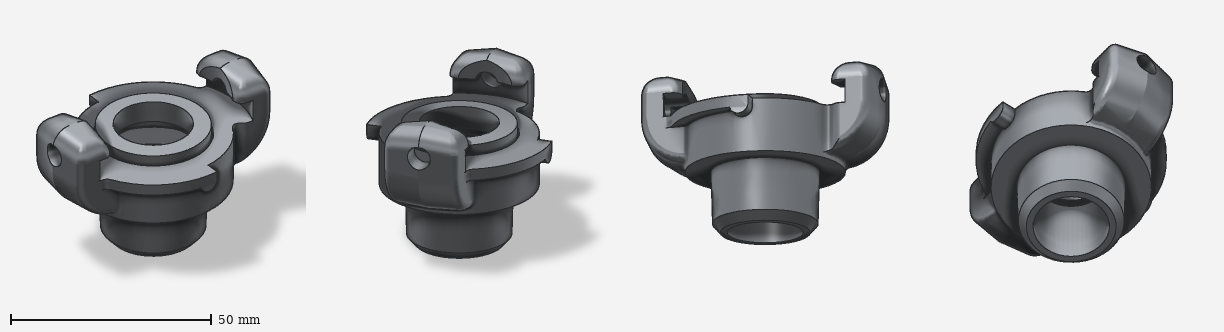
import cadquery as cq
import math


disc_radius = 20.0
disc_height = 13.7
stub_end_z = -29.27
stub_chamfer_z = -27.0
stub_top_radius = 13.6
stub_taper_radius = 13.2
stub_end_radius = 11.2
through_bore_radius = 9.5

chamber_mouth_radius = 15.0
chamber_radius = 17.5
shoulder_z = -2.0
chamber_floor_z = -8.8
floor_cone_drop = 0.4

seal_neck_radius = 14.5
seal_flange_radius = 17.25
seal_bore_radius = 10.0
seal_top_z = 2.93
seal_rim_z = 2.65
seal_bore_end_z = -2.9
seal_flare_radius = 11.0
seal_flare_z = -4.8
seal_skirt_radius = 16.5

claw_half_width = 9.87
claw_outer_y = 31.0
claw_inner_y = 18.4
claw_top_z = 12.2
crest_drop = 1.5
elbow_radius = 12.0
elbow_axis_y = claw_outer_y - elbow_radius
claw_root_y = 14.0
claw_crown_fillet = 5.0
claw_side_fillet = 2.0
claw_root_fillet = 1.5
slot_height = 6.0
slot_radius = 25.6
hook_tip_radius = 20.7
claw_hole_diameter = 6.0
claw_hole_z = 5.2

flange_radius = 23.75
flange_thickness = 3.0
flange_fillet = 2.0
stop_radius = 2.5
stop_centre_z = -2.2
stop_overlap = 1.0

hollow_radius = 1.8
round_radius = 2.8
relief_depth = 1.33

tolerance = 0.01


def both_sides(shape):
    """Return the +Y shape joined with its half-turn copy."""
    return shape.union(shape.rotate((0, 0, 0), (0, 0, 1), 180))


def claw_arm():
    """Upright arm and hook block, with crests along the middle of its outer, inner and top faces."""
    plan = [
        (0, claw_outer_y),
        (claw_half_width, claw_outer_y - crest_drop),
        (claw_half_width, claw_inner_y + crest_drop),
        (0, claw_inner_y),
        (-claw_half_width, claw_inner_y + crest_drop),
        (-claw_half_width, claw_outer_y - crest_drop),
    ]
    front = [
        (-claw_half_width, 0),
        (claw_half_width, 0),
        (claw_half_width, claw_top_z - crest_drop),
        (0, claw_top_z),
        (-claw_half_width, claw_top_z - crest_drop),
    ]
    column = cq.Workplane("XY").polyline(plan).close().extrude(claw_top_z)
    roof = cq.Workplane("XZ").polyline(front).close().extrude(-2 * claw_outer_y)
    return column.intersect(roof)


def claw_elbow():
    """Quarter bend under the arm and its level root, run out from the crest along both slanted halves."""
    side_profile = (
        cq.Workplane("YZ").moveTo(claw_root_y, 0).lineTo(claw_outer_y, 0)
        .radiusArc((elbow_axis_y, -elbow_radius), elbow_radius)
        .lineTo(claw_root_y, -elbow_radius).close()
    )
    profile_face = cq.Face.makeFromWires(side_profile.val())
    halves = [
        cq.Solid.extrudeLinear(profile_face, cq.Vector(side * claw_half_width, -crest_drop, 0))
        for side in (1, -1)
    ]
    return cq.Workplane(halves[0]).union(cq.Workplane(halves[1]))


def is_crown_edge(edge):
    """Rim edges of the claw top, without the crest line itself."""
    on_crest = edge.BoundingBox().xlen < tolerance and abs(edge.Center().x) < tolerance
    return edge.BoundingBox().zmin > claw_top_z - crest_drop - tolerance and not on_crest


def is_side_edge(edge):
    """Edges where the claw sides meet its outer, lower and hook faces."""
    box = edge.BoundingBox()
    in_side_face = box.xlen < tolerance and abs(edge.Center().x) > claw_half_width - tolerance
    if not in_side_face:
        return False
    on_elbow = edge.geomType() == "CIRCLE" and edge.Center().z < 0
    under_root = box.zmax < -elbow_radius + tolerance
    upright = box.ylen < tolerance and box.ymin > claw_inner_y
    return on_elbow or under_root or upright


def rounded_claw():
    """Claw with its crown and side edges rounded, before the mating slot is cut."""
    claw = claw_arm().union(claw_elbow())
    crown_edges = [edge for edge in claw.edges().vals() if is_crown_edge(edge)]
    claw = claw.newObject(crown_edges).fillet(claw_crown_fillet)
    side_edges = [edge for edge in claw.edges().vals() if is_side_edge(edge)]
    return claw.newObject(side_edges).fillet(claw_side_fillet)


def is_root_edge(edge):
    """Edges below the mating face where a claw meets the wall of the disc."""
    box = edge.BoundingBox()
    at_claw = abs(edge.Center().y) > claw_root_y
    clear_of_base = box.zmin > -disc_height + tolerance
    below_mating_face = box.zmin < -tolerance
    on_wall = all(
        abs(math.hypot(vertex.X, vertex.Y) - disc_radius) < tolerance for vertex in edge.Vertices()
    )
    return at_claw and clear_of_base and below_mating_face and on_wall


def flange_ramp():
    """Thin flange on the -X side of the claw, blended into it and ending in a round-bottomed stop."""
    quadrant = (
        cq.Workplane("XY").circle(flange_radius).extrude(-flange_thickness)
        .intersect(cq.Workplane("XY").rect(flange_radius, flange_radius, centered=False)
                   .extrude(-flange_thickness).rotate((0, 0, 0), (0, 0, 1), 90))
    )
    stop_length = flange_radius - disc_radius + stop_overlap
    stop_block = (
        cq.Workplane("XY", origin=(-flange_radius, -stop_radius, stop_centre_z))
        .box(stop_length, 2 * stop_radius, -stop_centre_z, centered=False)
    )
    stop_round = (
        cq.Workplane("YZ", origin=(-flange_radius, 0, stop_centre_z))
        .circle(stop_radius).extrude(stop_length)
    )
    stop = stop_block.union(stop_round)
    stop = stop.intersect(cq.Workplane("XY").circle(flange_radius).extrude(-disc_height))

    blend_x = -(claw_half_width + flange_fillet)
    blend_distance = flange_radius + flange_fillet
    blend_y = math.sqrt(blend_distance**2 - blend_x**2)
    rim_scale = flange_radius / blend_distance
    rim_point = (blend_x * rim_scale, blend_y * rim_scale)
    middle_angle = math.atan2(-blend_y, -blend_x) / 2
    arc_middle = (
        blend_x + flange_fillet * math.cos(middle_angle),
        blend_y + flange_fillet * math.sin(middle_angle),
    )
    blend = (
        cq.Workplane("XY").moveTo(*rim_point)
        .threePointArc(arc_middle, (-claw_half_width, blend_y))
        .lineTo(-claw_half_width, rim_point[1] - flange_fillet)
        .close().extrude(-flange_thickness)
    )
    return quadrant.union(stop).union(blend)


def claw_relief():
    """Cutter for the +X side of the claw: a hollow arc off the disc, then a round to the side."""
    hollow_distance = disc_radius + hollow_radius
    hollow_x = claw_half_width - relief_depth + hollow_radius
    hollow_y = math.sqrt(hollow_distance**2 - hollow_x**2)
    disc_scale = disc_radius / hollow_distance
    disc_point = (hollow_x * disc_scale, hollow_y * disc_scale)

    round_x = claw_half_width - round_radius
    centre_distance = hollow_radius + round_radius
    round_y = hollow_y + math.sqrt(centre_distance**2 - (hollow_x - round_x)**2)
    joint_angle = math.atan2(hollow_y - round_y, hollow_x - round_x)
    joint = (
        round_x + round_radius * math.cos(joint_angle),
        round_y + round_radius * math.sin(joint_angle),
    )
    round_middle = (
        round_x + round_radius * math.cos(joint_angle / 2),
        round_y + round_radius * math.sin(joint_angle / 2),
    )
    outside_x = claw_half_width + 2 * round_radius
    cutter = (
        cq.Workplane("XY").moveTo(*disc_point)
        .threePointArc((hollow_x - hollow_radius, hollow_y), joint)
        .threePointArc(round_middle, (claw_half_width, round_y))
        .lineTo(outside_x, round_y)
        .lineTo(outside_x, disc_point[1] - 2 * round_radius)
        .close().extrude(-disc_height)
    )
    return cutter.cut(cq.Workplane("XY").circle(disc_radius).extrude(-disc_height))


def mating_cuts(body):
    """Open the slot under the hooks, hollow the hook tips and drill the claws."""
    slot = cq.Workplane("XY").circle(slot_radius).extrude(slot_height)
    tip_clearance = cq.Workplane("XY").circle(hook_tip_radius).extrude(claw_top_z)
    drill = (
        cq.Workplane("XZ", origin=(0, 0, claw_hole_z)).circle(claw_hole_diameter / 2)
        .extrude(claw_outer_y, both=True)
    )
    return body.cut(slot).cut(tip_clearance).cut(drill)


def tapered_stub():
    """Tapered stub below the disc with a chamfered end."""
    profile = [
        (0, -disc_height),
        (stub_top_radius, -disc_height),
        (stub_taper_radius, stub_chamfer_z),
        (stub_end_radius, stub_end_z),
        (0, stub_end_z),
    ]
    return cq.Workplane("XZ").polyline(profile).close().revolve(360, (0, 0, 0), (0, 1, 0))


def inner_void():
    """Stepped seal chamber and through bore."""
    profile = [
        (0, 0),
        (chamber_mouth_radius, 0),
        (chamber_mouth_radius, shoulder_z),
        (chamber_radius, shoulder_z),
        (chamber_radius, chamber_floor_z),
        (chamber_mouth_radius, chamber_floor_z),
        (through_bore_radius, chamber_floor_z - floor_cone_drop),
        (through_bore_radius, stub_end_z),
        (0, stub_end_z),
    ]
    return cq.Workplane("XZ").polyline(profile).close().revolve(360, (0, 0, 0), (0, 1, 0))


def build_housing():
    disc = cq.Workplane("XY").circle(disc_radius).extrude(-disc_height)
    body = disc.union(both_sides(rounded_claw()))
    root_edges = [edge for edge in body.edges().vals() if is_root_edge(edge)]
    body = body.newObject(root_edges).fillet(claw_root_fillet)
    body = mating_cuts(body).cut(both_sides(claw_relief()))
    return body.union(both_sides(flange_ramp())).union(tapered_stub()).cut(inner_void())


def build_seal():
    """Ring with a flange held under the chamber shoulder and a skirt standing on the chamber floor."""
    profile = [
        (seal_bore_radius, seal_top_z),
        (seal_neck_radius, seal_rim_z),
        (seal_neck_radius, shoulder_z),
        (seal_flange_radius, shoulder_z),
        (seal_flange_radius, chamber_floor_z),
        (seal_skirt_radius, chamber_floor_z),
        (seal_skirt_radius, seal_flare_z),
        (seal_flare_radius, seal_flare_z),
        (seal_bore_radius, seal_bore_end_z),
    ]
    return cq.Workplane("XZ").polyline(profile).close().revolve(360, (0, 0, 0), (0, 1, 0))


housing = build_housing()
seal = build_seal()
result = cq.Compound.makeCompound([housing.val(), seal.val()])